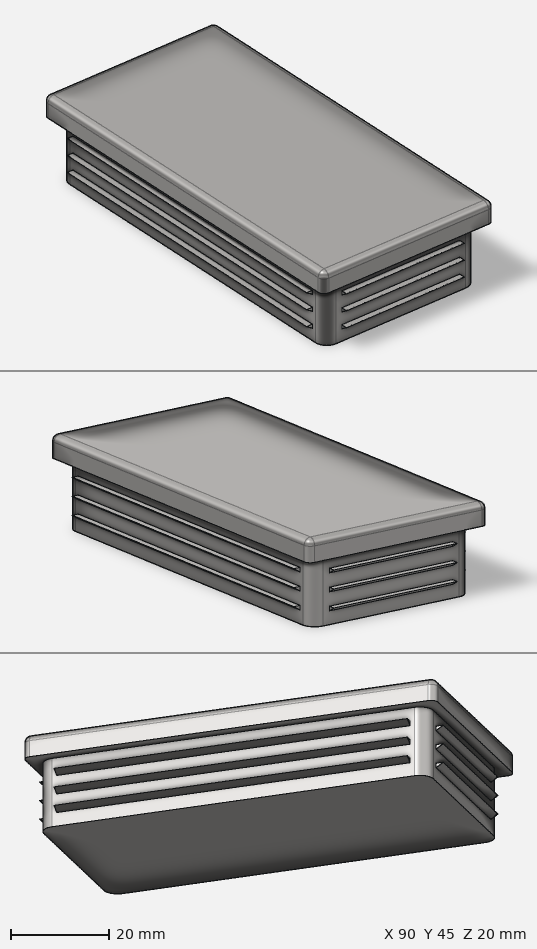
import cadquery as cq

cap_length = 90.0
cap_width = 45.0
cap_thickness = 5.0
cap_rounding = 1.5

total_height = 20.0
plug_inset = 2.5
plug_corner_radius = 3.0
plug_height = total_height - cap_thickness
plug_length = cap_length - 2 * plug_inset
plug_width = cap_width - 2 * plug_inset

fin_count = 3
lowest_fin_top = 4.0
fin_spacing = 4.05
fin_reach = 1.5
fin_root_thickness = 1.0
long_side_fin_inset = 4.0
short_side_fin_inset = 4.5
fin_embed = 0.45


def make_cap():
    """Plate with rounded vertical corners and a rounded top rim."""
    return (
        cq.Workplane("XY", origin=(0, 0, plug_height))
        .rect(cap_length, cap_width)
        .extrude(cap_thickness)
        .edges("|Z")
        .fillet(cap_rounding)
        .faces(">Z")
        .edges()
        .fillet(cap_rounding)
    )


def make_plug():
    """Solid block with rounded vertical corners."""
    return (
        cq.Workplane("XY")
        .rect(plug_length, plug_width)
        .extrude(plug_height)
        .edges("|Z")
        .fillet(plug_corner_radius)
    )


def make_fin(face_distance, length, top_z):
    """Fin on the +X side: flat on top, sloping underneath to a sharp tip."""
    root = face_distance - fin_embed
    return (
        cq.Workplane("XZ")
        .moveTo(root, top_z)
        .lineTo(face_distance + fin_reach, top_z)
        .lineTo(face_distance, top_z - fin_root_thickness)
        .lineTo(root, top_z - fin_root_thickness)
        .close()
        .extrude(length / 2, both=True)
    )


long_fin_length = plug_length - 2 * long_side_fin_inset
short_fin_length = plug_width - 2 * short_side_fin_inset

result = make_cap().union(make_plug())

sides = [
    (0, plug_length / 2, short_fin_length),
    (90, plug_width / 2, long_fin_length),
    (180, plug_length / 2, short_fin_length),
    (270, plug_width / 2, long_fin_length),
]
for angle, face_distance, fin_length in sides:
    for level in range(fin_count):
        top_z = lowest_fin_top + level * fin_spacing
        fin = make_fin(face_distance, fin_length, top_z)
        result = result.union(fin.rotate((0, 0, 0), (0, 0, 1), angle))